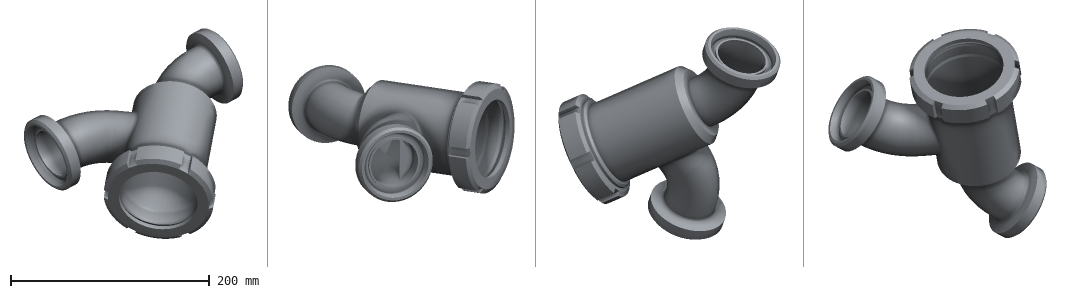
import cadquery as cq
import math


face_to_face = 221.5
elbow_angle = 45.0
elbow_bend_radius = 69.0
pipe_radius = 53.0 / 2
pipe_bore_radius = 50.0 / 2

flange_radius = 78.6 / 2
flange_rim = 13.7
flange_chamfer = 2.5
flange_back_taper = 1.8
flange_hub_radius = 29.2
neck_fillet_end = 18.0
elbow_start = 23.0
recess_mouth_radius = 68.2 / 2
recess_floor_radius = 63.8 / 2
recess_depth = 6.5
lip_radius = 54.0 / 2
lip_height = 2.9
stop_plate_edge = 10.9
stop_plate_thickness = 0.5

neck_length = 4.5
body_radius = 85.0 / 2
body_bore_radius = 83.0 / 2
body_length = 106.8
body_chamfer = 6.6
end_wall = 2.0
branch_fillet = 3.5

ferrule_radius = 95.0 / 2
ferrule_chamfer = 2.0
bore_overrun = 1.0
ferrule_mouth_radius = 85.0 / 2
ferrule_taper = 3.0
ferrule_lip_radius = 86.8 / 2
ferrule_end = 125.8

nut_radius = 111.6 / 2
nut_face_radius = 51.2
nut_chamfer_length = 2.7
nut_start = 111.5
nut_length = 24.5
nut_lip = 4.7
nut_opening_radius = 80.0 / 2
nut_cavity_radius = 95.5 / 2
slot_count = 6
slot_width = 10.2

bend = math.radians(elbow_angle)
elbow_shift = elbow_bend_radius * (1 - math.cos(bend))
elbow_rise = elbow_bend_radius * math.sin(bend)
nut_end = nut_start + nut_length
body_direction = cq.Vector(math.sin(bend), -math.cos(bend), 0)
branch_direction = cq.Vector(math.sin(bend), math.cos(bend), 0)
inlet_elbow_end = cq.Vector(elbow_shift, elbow_start + elbow_rise, 0)
outlet_elbow_end = cq.Vector(elbow_shift, face_to_face - elbow_start - elbow_rise, 0)
body_back = outlet_elbow_end + body_direction * neck_length
branch_length = (body_back - inlet_elbow_end).dot(branch_direction)

body_plane = cq.Plane(origin=body_back, xDir=branch_direction, normal=(0, 0, -1))


def turned(plane, outline):
    """Revolve a closed (radius, distance) outline about the local Y axis of the plane."""
    return cq.Workplane(plane).polyline(outline).close().revolve(360, (0, 0), (0, 1))


def rod(radius, start, direction, length):
    """Cylinder that grows from the start point along the direction."""
    return cq.Workplane(cq.Solid.makeCylinder(radius, length, start, direction))


def elbow(radius):
    """Bend of the inlet, leading from the flange neck towards the housing."""
    return (
        cq.Workplane("XZ", origin=(0, elbow_start, 0))
        .circle(radius)
        .revolve(elbow_angle, (elbow_bend_radius, 2.2), (elbow_bend_radius, 0))
    )


def flange():
    """Inlet flange and neck, with its face on Y = 0."""
    taper_start = flange_rim + flange_back_taper
    return (
        cq.Workplane("XY")
        .moveTo(0, 0)
        .lineTo(flange_radius - flange_chamfer, 0)
        .lineTo(flange_radius, flange_chamfer)
        .lineTo(flange_radius, flange_rim)
        .lineTo(flange_hub_radius, taper_start)
        .tangentArcPoint((pipe_radius, neck_fillet_end), relative=False)
        .lineTo(pipe_radius, elbow_start)
        .lineTo(0, elbow_start)
        .close()
        .revolve(360, (0, 0), (0, 1))
    )


def flange_bore():
    """Conical recess with a floor sunk round the lip of the straight bore."""
    floor_depth = recess_depth + lip_height
    return turned(cq.Plane.XY(), [
        (0, 0),
        (recess_mouth_radius, 0),
        (recess_floor_radius, recess_depth),
        (recess_floor_radius, floor_depth),
        (lip_radius, floor_depth),
        (lip_radius, recess_depth),
        (pipe_bore_radius, recess_depth),
        (pipe_bore_radius, elbow_start),
        (0, elbow_start),
    ])


def mirrored_to_outlet(inlet_part):
    """Copy of an inlet part on the opposite, outlet side."""
    return inlet_part.mirror("XZ", (0, face_to_face / 2, 0))


def stop_plate():
    """Thin plate that closes the inner side of the inlet bore where the bend starts."""
    width = pipe_radius - stop_plate_edge
    plate = (
        cq.Workplane("XY")
        .box(width, stop_plate_thickness, 2 * pipe_radius, centered=(False, False, True))
        .translate((stop_plate_edge, elbow_start, 0))
    )
    return plate.intersect(elbow(pipe_radius))


def housing():
    """Solid housing with its chamfered closed end and the filleted inlet branch."""
    body = turned(body_plane, [
        (0, 0),
        (body_radius - body_chamfer, 0),
        (body_radius, body_chamfer),
        (body_radius, body_length),
        (0, body_length),
    ])
    branch = rod(pipe_radius, inlet_elbow_end, branch_direction, branch_length)
    joined = body.union(branch)
    seam = joined.edges("not %CIRCLE").edges("not %LINE")
    return seam.fillet(branch_fillet)


def ferrule():
    """Solid collar on the housing, running up inside the nut."""
    return turned(body_plane, [
        (0, body_length),
        (ferrule_radius - ferrule_chamfer, body_length),
        (ferrule_radius, body_length + ferrule_chamfer),
        (ferrule_radius, nut_end - nut_lip),
        (0, nut_end - nut_lip),
    ])


def housing_bore():
    """Housing bore that widens through two cones, then the nut cavity and opening."""
    bore_end = body_length + bore_overrun
    return turned(body_plane, [
        (0, end_wall),
        (body_bore_radius - body_chamfer, end_wall),
        (body_bore_radius, end_wall + body_chamfer),
        (body_bore_radius, bore_end),
        (ferrule_mouth_radius, bore_end + ferrule_taper),
        (ferrule_mouth_radius, ferrule_end - ferrule_taper),
        (ferrule_lip_radius, ferrule_end),
        (nut_cavity_radius, ferrule_end),
        (nut_cavity_radius, nut_end - nut_lip),
        (nut_opening_radius, nut_end - nut_lip),
        (nut_opening_radius, nut_end),
        (0, nut_end),
    ])


def nut():
    """Union nut, chamfered at both ends, with slots spaced evenly round its rim."""
    blank = turned(body_plane, [
        (0, nut_start),
        (nut_face_radius, nut_start),
        (nut_radius, nut_start + nut_chamfer_length),
        (nut_radius, nut_end - nut_chamfer_length),
        (nut_face_radius, nut_end),
        (0, nut_end),
    ])
    slot_plane = cq.Plane(
        origin=body_back + body_direction * nut_start,
        xDir=branch_direction,
        normal=body_direction,
    )
    slots = (
        cq.Workplane(slot_plane)
        .polarArray(nut_face_radius + slot_width / 2, 0, 360, slot_count)
        .rect(slot_width, slot_width)
        .extrude(nut_length)
    )
    return blank.cut(slots)


inlet_bend = elbow(pipe_radius)
inlet_bend_bore = elbow(pipe_bore_radius)
inlet_bore = flange_bore().union(inlet_bend_bore)
inlet = flange().union(inlet_bend)

result = (
    housing()
    .union(rod(pipe_radius, outlet_elbow_end, body_direction, neck_length))
    .union(ferrule())
    .union(nut())
    .union(inlet)
    .union(mirrored_to_outlet(inlet))
    .cut(housing_bore())
    .cut(rod(pipe_bore_radius, inlet_elbow_end, branch_direction, branch_length))
    .cut(rod(pipe_bore_radius, outlet_elbow_end, body_direction, neck_length + end_wall))
    .cut(inlet_bore)
    .cut(mirrored_to_outlet(inlet_bore))
    .union(stop_plate())
)